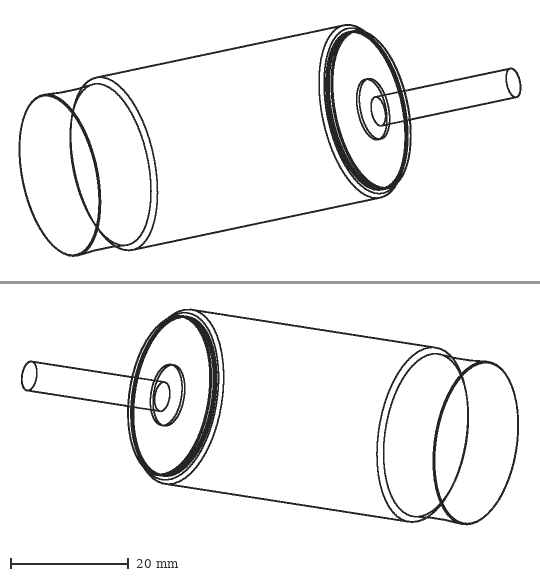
import cadquery as cq

OVERALL_LENGTH = 88.0
NECK_LENGTH = 10.0
BODY_START = 10.7
BODY_END = 59.2
SHOULDER_END = 59.8
GROOVE_START = 60.0
GROOVE_END = 60.4
RIM_END = 61.1
BOSS_END = 61.6

BODY_DIAMETER = 30.0
NECK_END_DIAMETER = 28.0
NECK_WAIST_DIAMETER = 27.5
SHOULDER_DIAMETER = 28.7
RIM_DIAMETER = 27.5
BOSS_DIAMETER = 10.5
SHAFT_DIAMETER = 5.0

RIM_CHAMFER = 0.2
GROOVE_DEPTH = 0.2
FRONT_CHAMFER = 0.2
SHAFT_OFFSET_X = 1.3


def make_housing():
    """Revolve the stepped housing, with its concave neck and grooved rim, about the Y axis."""
    body_radius = BODY_DIAMETER / 2
    neck_end_radius = NECK_END_DIAMETER / 2
    neck_middle = (FRONT_CHAMFER + NECK_LENGTH) / 2
    shoulder_radius = SHOULDER_DIAMETER / 2
    rim_radius = RIM_DIAMETER / 2
    boss_radius = BOSS_DIAMETER / 2
    profile = (
        cq.Workplane("XY")
        .lineTo(neck_end_radius - FRONT_CHAMFER, 0)
        .lineTo(neck_end_radius, FRONT_CHAMFER)
        .threePointArc((NECK_WAIST_DIAMETER / 2, neck_middle), (neck_end_radius, NECK_LENGTH))
        .lineTo(body_radius, BODY_START)
        .lineTo(body_radius, BODY_END)
        .lineTo(shoulder_radius, SHOULDER_END)
        .lineTo(rim_radius, SHOULDER_END)
        .lineTo(rim_radius, GROOVE_START)
        .lineTo(rim_radius - GROOVE_DEPTH, GROOVE_START)
        .lineTo(rim_radius - GROOVE_DEPTH, GROOVE_END)
        .lineTo(rim_radius, GROOVE_END)
        .lineTo(rim_radius, RIM_END - RIM_CHAMFER)
        .lineTo(rim_radius - RIM_CHAMFER, RIM_END)
        .lineTo(boss_radius, RIM_END)
        .lineTo(boss_radius, BOSS_END)
        .lineTo(0, BOSS_END)
        .close()
    )
    return profile.revolve(360, (0, 0, 0), (0, 1, 0))


def make_shaft():
    """Output shaft, off the housing axis, standing on the boss."""
    return (
        cq.Workplane("XZ", origin=(SHAFT_OFFSET_X, BOSS_END, 0))
        .circle(SHAFT_DIAMETER / 2)
        .extrude(BOSS_END - OVERALL_LENGTH)
    )


housing = make_housing()
shaft = make_shaft()
result = cq.Compound.makeCompound([housing.val(), shaft.val()])